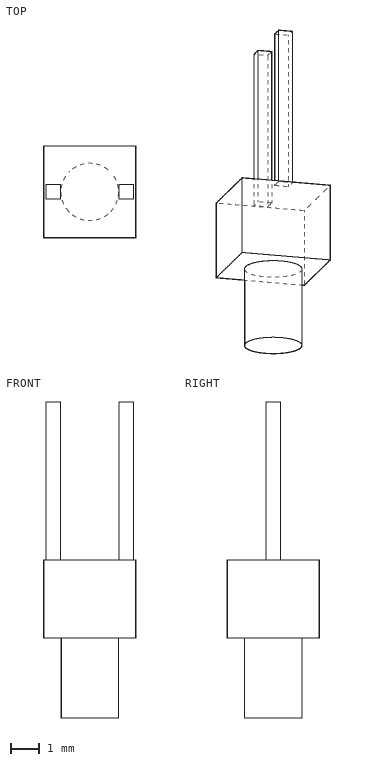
import cadquery as cq

total_height = 11.0
body_side = 3.2
body_height = 2.72
pin_length = 5.5
pin_side = 0.51
pin_spacing = 2.54
barrel_diameter = 2.0

barrel_height = total_height - body_height - pin_length

body = cq.Workplane("XY").rect(body_side, body_side).extrude(body_height)

barrel = cq.Workplane("XY").circle(barrel_diameter / 2).extrude(-barrel_height)

pins = (
    cq.Workplane("XY", origin=(0, 0, body_height))
    .rarray(pin_spacing, 0.11, 2, 1)
    .rect(pin_side, pin_side)
    .extrude(pin_length)
)

result = body.union(barrel).union(pins)